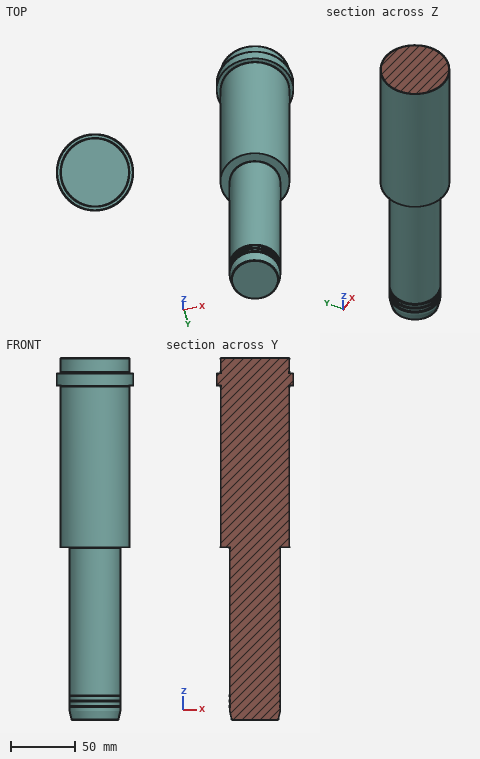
import cadquery as cq

total_height = 283.0
flange_diameter = 60.0
body_diameter = 54.0
shank_diameter = 40.0
shank_height = 135.0
flange_thickness = 10.0
head_height = 12.0
edge_chamfer = 0.5

neck_height = 0.8
neck_depth = 0.3

tip_diameter = 36.8
tip_height = 7.0

groove_count = 3
groove_pitch = 4.2
groove_width = 1.0
groove_depth = 0.42
lowest_groove_base = 10.0

flange_top = total_height - head_height
flange_base = flange_top - flange_thickness


def cylinder(diameter, base, top):
    return cq.Workplane("XY").workplane(offset=base).circle(diameter / 2).extrude(top - base)


def ring_groove(diameter, depth, base, width):
    """Ring to cut from a cylinder of the given diameter, leaving a groove of the given depth."""
    outer = cylinder(diameter + 2 * depth, base, base + width)
    core = cylinder(diameter - 2 * depth, base, base + width)
    return outer.cut(core)


def make_shank():
    """Long shank with a tapered tip, grooves and a neck under the body."""
    radius = shank_diameter / 2
    tip_radius = tip_diameter / 2
    shank = (
        cq.Workplane("XZ")
        .lineTo(tip_radius - edge_chamfer, 0)
        .lineTo(tip_radius, edge_chamfer)
        .lineTo(radius, tip_height)
        .lineTo(radius, shank_height)
        .lineTo(0, shank_height)
        .close()
        .revolve(360, (0, 0, 0), (0, 1, 0))
    )
    for index in range(groove_count):
        groove_base = lowest_groove_base + index * groove_pitch
        shank = shank.cut(ring_groove(shank_diameter, groove_depth, groove_base, groove_width))
    neck_base = shank_height - neck_height
    return shank.cut(ring_groove(shank_diameter, neck_depth, neck_base, neck_height))


def make_body():
    """Thick upper body with a chamfered top and a neck on each side of the flange."""
    body = cylinder(body_diameter, shank_height, total_height)
    body = body.faces(">Z").chamfer(edge_chamfer)
    for neck_base in (flange_top, flange_base - neck_height):
        body = body.cut(ring_groove(body_diameter, neck_depth, neck_base, neck_height))
    return body


def make_flange():
    """Collar around the body with a chamfered upper rim."""
    return cylinder(flange_diameter, flange_base, flange_top).faces(">Z").chamfer(edge_chamfer)


result = make_shank().union(make_body()).union(make_flange())